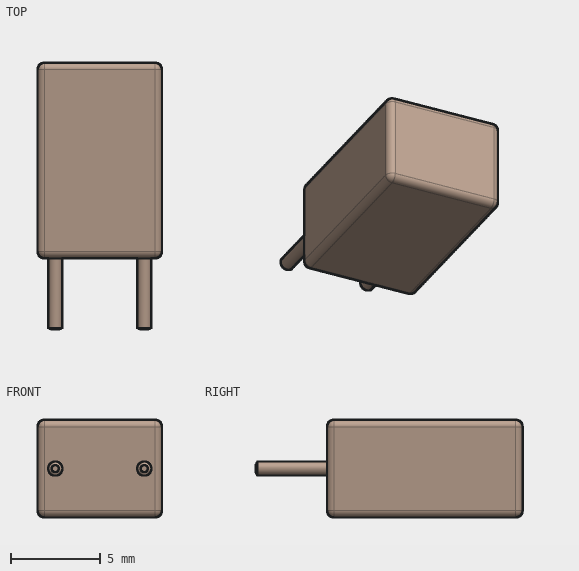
import cadquery as cq

body_width = 7.0
body_length = 11.0
body_height = 5.5
edge_radius = 0.4

lead_diameter = 0.8
lead_pitch = 5.0
lead_length = 4.0
tip_diameter = 0.4
tip_length = 0.1

lead_face_y = -body_length / 2


def make_body():
    """Box centred on the origin with every edge rounded."""
    return cq.Workplane("XY").box(body_width, body_length, body_height).edges().fillet(edge_radius)


def make_lead(x):
    """Round lead pointing along -Y, with a cone-shaped tip ending in a small flat."""
    shank_end_y = lead_face_y - lead_length + tip_length
    tip_end_y = lead_face_y - lead_length
    half_profile = (
        cq.Workplane("XY")
        .moveTo(x, lead_face_y)
        .lineTo(x + lead_diameter / 2, lead_face_y)
        .lineTo(x + lead_diameter / 2, shank_end_y)
        .lineTo(x + tip_diameter / 2, tip_end_y)
        .lineTo(x, tip_end_y)
        .close()
    )
    return half_profile.revolve(360, (x, lead_face_y, 0), (x, tip_end_y, 0))


result = make_body()
for side in (-1, 1):
    result = result.union(make_lead(side * lead_pitch / 2))